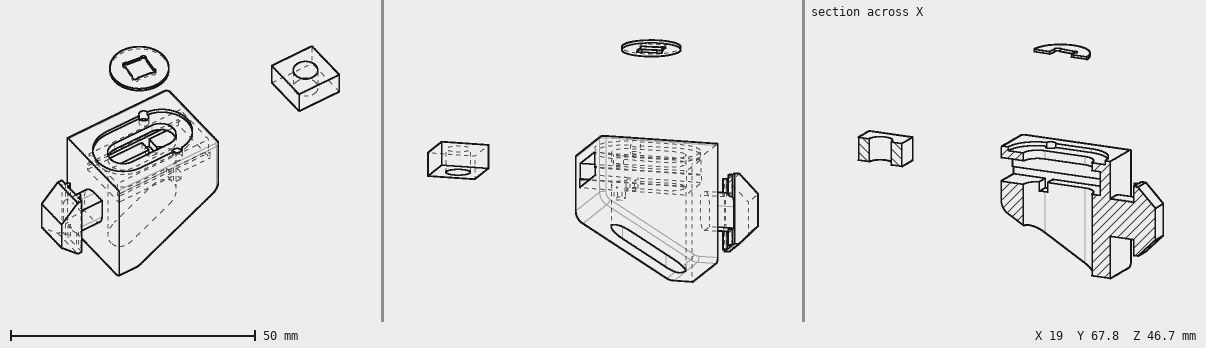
import cadquery as cq
import math

HOUSING_WIDTH = 19.0
HOUSING_DEPTH = 25.0
HOUSING_HEIGHT = 25.05
SLOPE_ANGLE = 30.0
SLOPE_START = 4.9
BEND_RADIUS = 3.0
EDGE_RADIUS = 1.0
TOP_EDGE_RADIUS = 0.5

RECESS_WIDTH = 12.5
RECESS_LENGTH = 22.05
RECESS_DEPTH = 0.8
RECESS_Y = 12.2
SLOT_WIDTH = 6.4
SLOT_LENGTH = 15.6
SLOT_Y = 12.0
BLIND_HOLE_DIAMETER = 2.05
BLIND_HOLE_SPACING = 12.1
BLIND_HOLE_Y = 16.6
BLIND_HOLE_DEPTH = RECESS_DEPTH + 1.5

NUT_SIDE = 10.0
NUT_THICKNESS = 4.95
NUT_HOLE_DIAMETER = 5.0
NUT_BACK = 57.55
NUT_BOTTOM = 17.5
NUT_Y = NUT_BACK - NUT_SIDE / 2

POCKET_WIDTH = 10.3
POCKET_FRONT = 2.4
BAND_WIDTH = 11.4
BAND_HEIGHT = 1.7
NOTCH_WIDTH = 1.75
NOTCH_DEPTH = 2.05
NOTCH_Y = 16.8

WASHER_DIAMETER = 12.1
WASHER_THICKNESS = 0.6
WASHER_TOP = 46.7
WASHER_Y = 11.4
SQUARE_HOLE_SIDE = 4.9
SQUARE_HOLE_TURN = -6.5
RELIEF_DIAMETER = 1.2
RELIEF_SPACING = 4.1

LOCK_Z = 13.0
SHAFT_WIDTH = 6.4
SHAFT_HEIGHT = 8.15
SHAFT_LENGTH = 5.3
SHAFT_CORNER_RADIUS = 3.6
HEAD_WIDTH = 7.25
HEAD_HEIGHT = 14.8
HEAD_LENGTH = 5.0
HEAD_CHAMFER = 4.0
RIB_WIDTH = 0.9
RIB_HEIGHT = 0.8
RIB_SPACING = 3.9


def housing_block():
    slope_end = (HOUSING_DEPTH - SLOPE_START) * math.tan(math.radians(SLOPE_ANGLE))
    block = (
        cq.Workplane("YZ")
        .moveTo(0, 0)
        .lineTo(SLOPE_START, 0)
        .lineTo(HOUSING_DEPTH, slope_end)
        .lineTo(HOUSING_DEPTH, HOUSING_HEIGHT)
        .lineTo(0, HOUSING_HEIGHT)
        .close()
        .extrude(HOUSING_WIDTH / 2, both=True)
    )
    slope_edges = block.faces("<Z or >Y").edges("|X").edges("not(<Y or >Z)")
    block = slope_edges.fillet(BEND_RADIUS)
    block = block.faces("<X or >X").edges("not(<Y or >Z)").fillet(EDGE_RADIUS)
    return block.faces(">Z").edges("not <Y").fillet(TOP_EDGE_RADIUS)


def obround(length, width, middle_y, bottom):
    """An obround along Y, from the given height up to the top of the housing."""
    return (
        cq.Workplane("XY", origin=(0, middle_y, bottom))
        .slot2D(length, width, 90)
        .extrude(HOUSING_HEIGHT - bottom)
    )


def blind_holes():
    return (
        cq.Workplane("XY", origin=(0, BLIND_HOLE_Y, HOUSING_HEIGHT - BLIND_HOLE_DEPTH))
        .rarray(BLIND_HOLE_SPACING, 0.7, 2, 1)
        .circle(BLIND_HOLE_DIAMETER / 2)
        .extrude(BLIND_HOLE_DEPTH)
    )


def nut_pocket():
    length = HOUSING_DEPTH - POCKET_FRONT
    corner = cq.Workplane("XY", origin=(0, POCKET_FRONT, NUT_BOTTOM))
    pocket = corner.box(POCKET_WIDTH, length, NUT_THICKNESS, centered=(True, False, False))
    band = corner.box(BAND_WIDTH, length, BAND_HEIGHT, centered=(True, False, False))
    notch = cq.Workplane("XY", origin=(0, NOTCH_Y, NUT_BOTTOM - NOTCH_DEPTH)).box(
        BAND_WIDTH, NOTCH_WIDTH, NOTCH_DEPTH, centered=(True, True, False)
    )
    return pocket.union(band).union(notch)


def lock_shaft():
    shaft = cq.Workplane("XZ", origin=(0, 0, LOCK_Z)).rect(SHAFT_WIDTH, SHAFT_HEIGHT).extrude(SHAFT_LENGTH)
    opposite_corners = shaft.edges("|Y").edges("(<X and >Z) or (>X and <Z)")
    return opposite_corners.fillet(SHAFT_CORNER_RADIUS)


def lock_head():
    return (
        cq.Workplane("XZ", origin=(0, -SHAFT_LENGTH, LOCK_Z))
        .rect(HEAD_WIDTH, HEAD_HEIGHT)
        .extrude(HEAD_LENGTH)
        .faces("<Y")
        .edges("|X")
        .chamfer(HEAD_CHAMFER)
    )


def lock_rib(x):
    """An upright rib on the back of the lock head, with a half-round crest."""
    half_width = RIB_WIDTH / 2
    straight_height = RIB_HEIGHT - half_width
    return (
        cq.Workplane("XY", origin=(x, -SHAFT_LENGTH, LOCK_Z - HEAD_HEIGHT / 2))
        .moveTo(-half_width, 0)
        .lineTo(-half_width, straight_height)
        .threePointArc((0, RIB_HEIGHT), (half_width, straight_height))
        .lineTo(half_width, 0)
        .close()
        .extrude(HEAD_HEIGHT)
    )


def housing_body():
    body = (
        housing_block()
        .cut(obround(RECESS_LENGTH, RECESS_WIDTH, RECESS_Y, HOUSING_HEIGHT - RECESS_DEPTH))
        .cut(obround(SLOT_LENGTH, SLOT_WIDTH, SLOT_Y, 0))
        .cut(blind_holes())
        .cut(nut_pocket())
        .union(lock_shaft())
        .union(lock_head())
    )
    for x in (-RIB_SPACING / 2, RIB_SPACING / 2):
        body = body.union(lock_rib(x))
    return body


def nut_body():
    return (
        cq.Workplane("XY", origin=(0, NUT_Y, NUT_BOTTOM))
        .rect(NUT_SIDE, NUT_SIDE)
        .circle(NUT_HOLE_DIAMETER / 2)
        .extrude(NUT_THICKNESS)
    )


def washer_body():
    base = cq.Workplane("XY", origin=(0, WASHER_Y, WASHER_TOP - WASHER_THICKNESS))
    disc = base.circle(WASHER_DIAMETER / 2).extrude(WASHER_THICKNESS)
    turned = base.transformed(rotate=(0, 0, SQUARE_HOLE_TURN))
    square = turned.rect(SQUARE_HOLE_SIDE, SQUARE_HOLE_SIDE).extrude(WASHER_THICKNESS)
    reliefs = (
        turned.rarray(RELIEF_SPACING, RELIEF_SPACING, 2, 2)
        .circle(RELIEF_DIAMETER / 2)
        .extrude(WASHER_THICKNESS)
    )
    return disc.cut(square).cut(reliefs)


housing = housing_body()
nut = nut_body()
washer = washer_body()

result = cq.Compound.makeCompound([housing.val(), nut.val(), washer.val()])